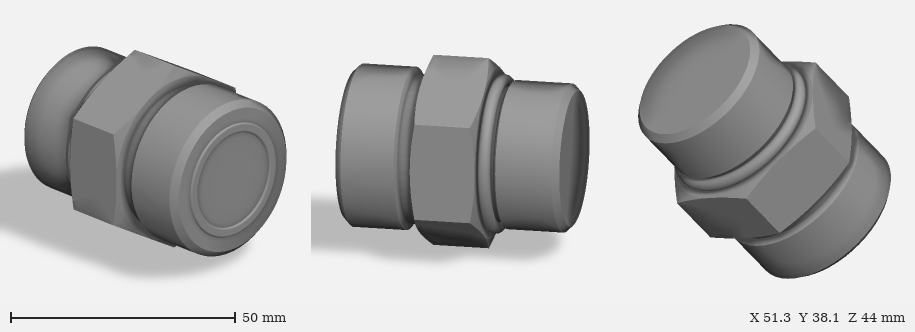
import cadquery as cq
import math

port_thread_end = 14.3
port_relief_end = 15.15
hex_start = 18.5
hex_end = 33.3
tube_neck_end = 36.4
tube_thread_start = 37.2
body_length = 50.8

port_thread_diameter = 33.33
port_relief_diameter = 30.4
port_chamfer = (port_thread_diameter - port_relief_diameter) / 2

tube_thread_diameter = 36.5
tube_neck_diameter = 33.53
tube_chamfer = (tube_thread_diameter - tube_neck_diameter) / 2

hex_across_flats = 38.1
hex_sides = 6
hex_across_corners = hex_across_flats / math.cos(math.pi / hex_sides)
hex_chamfer_angle = 20

o_ring_section = 2.95
o_ring_inner_diameter = 29.74
o_ring_center_radius = (o_ring_inner_diameter + o_ring_section) / 2
o_ring_center_x = hex_start - o_ring_section / 2

face_seal_outer_diameter = 26.77
face_seal_inner_diameter = 22.2
face_seal_edge_radius = 0.97 / 2
face_seal_projection = 0.46
face_seal_groove_depth = 1.5


def revolve_about_x(profile):
    """Revolve a profile of X (along) and Y (radial) around the X axis."""
    return profile.revolve(360, (0, 0, 0), (1, 0, 0))


def tube_along_x(start, length, outer_diameter, inner_diameter):
    """Hollow cylinder on the X axis."""
    return (
        cq.Workplane("YZ", origin=(start, 0, 0))
        .circle(outer_diameter / 2)
        .circle(inner_diameter / 2)
        .extrude(length)
    )


def make_o_ring():
    return revolve_about_x(
        cq.Workplane("XY")
        .moveTo(o_ring_center_x, o_ring_center_radius)
        .circle(o_ring_section / 2)
    )


def make_face_seal():
    """Flat ring with a rounded rim on the edge that stands proud."""
    ring = tube_along_x(
        body_length - face_seal_groove_depth,
        face_seal_groove_depth + face_seal_projection,
        face_seal_outer_diameter,
        face_seal_inner_diameter,
    )
    return ring.faces(">X").edges().fillet(face_seal_edge_radius)


def make_turned_body():
    """Both threaded ends and the core that joins them through the hexagon."""
    port_end_radius = port_thread_diameter / 2 - port_chamfer
    tube_end_radius = tube_thread_diameter / 2 - tube_chamfer
    return revolve_about_x(
        cq.Workplane("XY")
        .moveTo(0, 0)
        .lineTo(0, port_end_radius)
        .lineTo(port_chamfer, port_thread_diameter / 2)
        .lineTo(port_thread_end, port_thread_diameter / 2)
        .lineTo(port_relief_end, port_relief_diameter / 2)
        .lineTo(hex_start, port_relief_diameter / 2)
        .lineTo(hex_start, tube_neck_diameter / 2)
        .lineTo(tube_neck_end, tube_neck_diameter / 2)
        .lineTo(tube_thread_start, tube_thread_diameter / 2)
        .lineTo(body_length - tube_chamfer, tube_thread_diameter / 2)
        .lineTo(body_length, tube_end_radius)
        .lineTo(body_length, 0)
        .close()
    )


def make_hexagon():
    """Hexagonal prism whose corners are cut back by a cone at each end."""
    prism = (
        cq.Workplane("YZ", origin=(hex_start, 0, 0))
        .polygon(hex_sides, hex_across_corners)
        .extrude(hex_end - hex_start)
        .rotate((0, 0, 0), (1, 0, 0), 90)
    )
    flat_radius = hex_across_flats / 2
    corner_radius = hex_across_corners / 2
    setback = (corner_radius - flat_radius) * math.tan(math.radians(hex_chamfer_angle))
    envelope = revolve_about_x(
        cq.Workplane("XY")
        .moveTo(hex_start, 0)
        .lineTo(hex_start, flat_radius)
        .lineTo(hex_start + setback, corner_radius)
        .lineTo(hex_end - setback, corner_radius)
        .lineTo(hex_end, flat_radius)
        .lineTo(hex_end, 0)
        .close()
    )
    return prism.intersect(envelope)


def make_housing(o_ring):
    """Fitting body with a seat for the O-ring and a groove for the face seal."""
    face_seal_groove = tube_along_x(
        body_length - face_seal_groove_depth,
        face_seal_groove_depth,
        face_seal_outer_diameter,
        face_seal_inner_diameter,
    )
    return make_turned_body().union(make_hexagon()).cut(o_ring).cut(face_seal_groove)


o_ring = make_o_ring()
face_seal = make_face_seal()
housing = make_housing(o_ring)

result = cq.Compound.makeCompound([housing.val(), o_ring.val(), face_seal.val()])